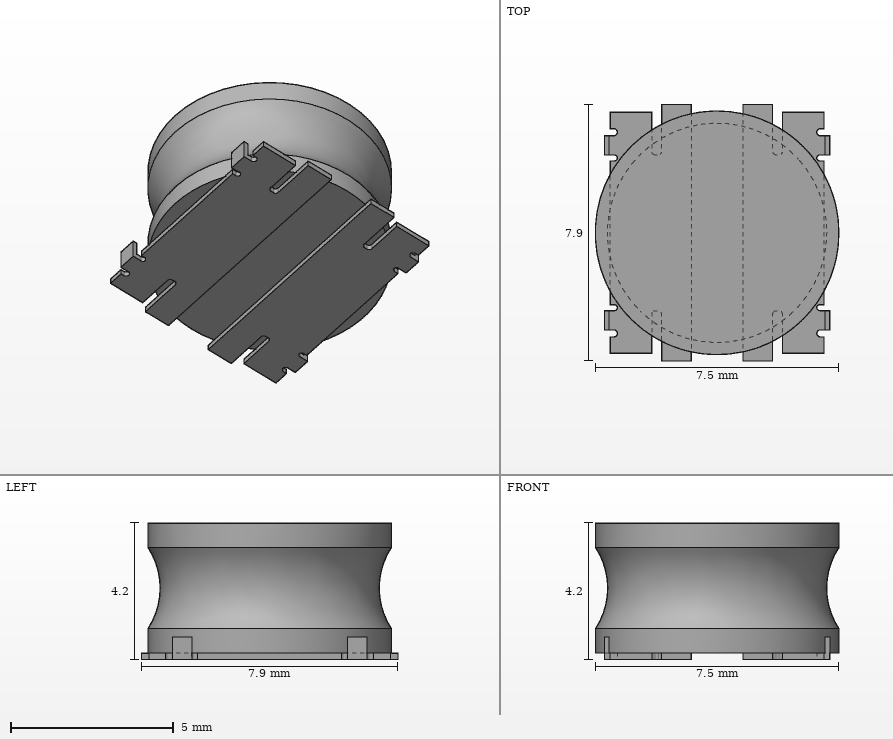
import cadquery as cq

total_height = 4.2
core_radius = 3.75
waist_radius = 3.375
flange_height = 0.75

plate_thickness = 0.2
plate_inner_x = 0.79
plate_outer_x = 3.29
inner_leg_end_y = 3.95
outer_leg_end_y = 3.71

slot_inner_x = 1.71
slot_outer_x = 2.01
slot_end_y = 2.4
slot_corner_radius = 0.1

tab_near_y = 2.39
tab_far_y = 2.99
tab_outer_x = 3.47
tab_thickness = 0.15
tab_height = 0.69
near_notch_width = 0.175
far_notch_width = 0.21
notch_end_x = 3.07


def make_core():
    """Revolve the half section of the drum core about Z."""
    bottom_z = plate_thickness
    lower_flange_z = bottom_z + flange_height
    upper_flange_z = total_height - flange_height
    waist_z = (lower_flange_z + upper_flange_z) / 2
    return (
        cq.Workplane("XZ")
        .moveTo(0, bottom_z)
        .lineTo(core_radius, bottom_z)
        .lineTo(core_radius, lower_flange_z)
        .threePointArc((waist_radius, waist_z), (core_radius, upper_flange_z))
        .lineTo(core_radius, total_height)
        .lineTo(0, total_height)
        .close()
        .revolve(360, (0, 0), (0, 1))
    )


def block(x_range, y_range, height):
    """Box standing on Z = 0 over the given X and Y ranges."""
    x_min, x_max = x_range
    y_min, y_max = y_range
    return cq.Workplane("XY").box(
        x_max - x_min, y_max - y_min, height, centered=False
    ).translate((x_min, y_min, 0))


def make_slot():
    """Cutter for the gap between the legs, with rounded inner corners."""
    slot = block((slot_inner_x, slot_outer_x), (slot_end_y, inner_leg_end_y), plate_thickness)
    return slot.edges("|Z and <Y").fillet(slot_corner_radius)


def make_notch(start_y, width):
    """Cutter running in from the plate's outer side to a full-round end."""
    radius = width / 2
    straight_end_x = notch_end_x + radius
    return (
        cq.Workplane("XY")
        .moveTo(tab_outer_x, start_y)
        .lineTo(straight_end_x, start_y)
        .threePointArc((notch_end_x, start_y + radius), (straight_end_x, start_y + width))
        .lineTo(tab_outer_x, start_y + width)
        .close()
        .extrude(plate_thickness)
    )


def make_plate_quarter():
    """Half of one terminal plate, in the +X +Y quadrant."""
    inner_leg = block((plate_inner_x, slot_outer_x), (0, inner_leg_end_y), plate_thickness)
    outer_leg = block((slot_inner_x, plate_outer_x), (0, outer_leg_end_y), plate_thickness)
    tab_y = (tab_near_y, tab_far_y)
    tab_foot = block((notch_end_x, tab_outer_x), tab_y, plate_thickness)
    tab_upright = block((tab_outer_x - tab_thickness, tab_outer_x), tab_y, tab_height)
    return (
        inner_leg.union(outer_leg)
        .cut(make_slot())
        .cut(make_notch(tab_near_y - near_notch_width, near_notch_width))
        .cut(make_notch(tab_far_y, far_notch_width))
        .union(tab_foot)
        .union(tab_upright)
    )


quarter = make_plate_quarter()
plate = quarter.union(quarter.mirror("XZ"))
result = make_core().union(plate).union(plate.mirror("YZ"))